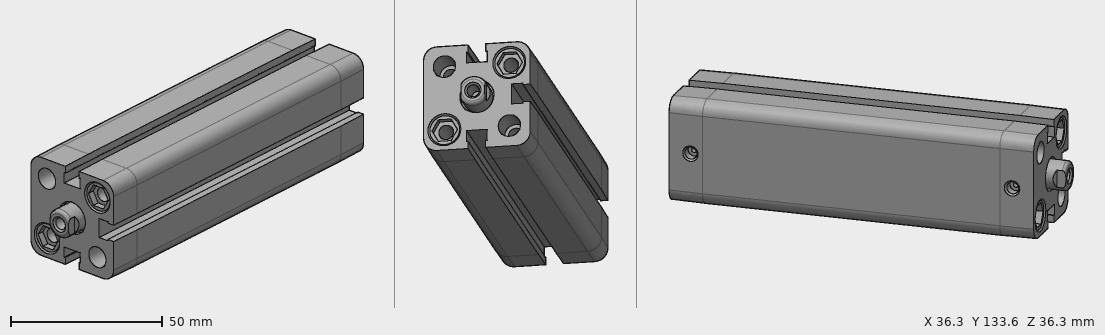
import cadquery as cq
import math

overall_length = 133.6
rod_projection = 6.5
housing_length = overall_length - rod_projection
housing_width = 36.3
half_width = housing_width / 2
corner_radius = 4.7
cap_length = 11.8
cap_inset = 0.16

slot_mouth_width = 6.0
slot_inner_width = 7.0
slot_lip = 2.7
slot_depth = 6.4

hole_offset = 11.0
bore_diameter = 4.1
clearance_diameter = 5.0
clearance_depth = 16.0
counterbore_diameter = 7.5
counterbore_depth = 10.7
screw_rim_diameter = 11.1
screw_diameter = 10.0
screw_recess = 0.5
hex_across_flats = 7.5
hex_depth = 3.0

thread_mouth_diameter = 5.5
thread_core_diameter = 4.1
thread_chamfer = (thread_mouth_diameter - thread_core_diameter) / 2

port_distance = 7.5
port_depth = 4.0
passage_diameter = 1.7
passage_depth = 8.0

rod_diameter = 10.0
rod_tip_fillet = 1.2
rod_across_flats = 8.0
flat_length = 3.1
flat_runout = 1.1
gland_diameter = 11.5
gland_depth = 2.0
rod_hole_depth = 8.0


def end_plane(y, toward):
    """Plane across the housing at Y = y, with its normal along Y in the given direction."""
    return cq.Plane(origin=(0, y, 0), xDir=(1, 0, 0), normal=(0, toward, 0))


def cylinder(diameter, length, base, direction):
    """Cylinder from base along direction."""
    return cq.Workplane(cq.Solid.makeCylinder(diameter / 2, length, cq.Vector(*base), cq.Vector(*direction)))


def cylinder_y(diameter, start, length, x=0.0, z=0.0):
    """Cylinder running from Y = start toward +Y."""
    return cylinder(diameter, length, (x, start, z), (0, 1, 0))


def cone(start_diameter, end_diameter, length, base, direction):
    """Truncated cone from base along direction."""
    start = cq.Vector(*base)
    axis = cq.Vector(*direction)
    return cq.Workplane(cq.Solid.makeCone(start_diameter / 2, end_diameter / 2, length, start, axis))


def make_block(y, toward, length, draft):
    """Rounded square block from Y = y, its sides leaning in by the draft angle."""
    block = cq.Workplane(end_plane(y, toward)).sketch().rect(housing_width, housing_width)
    return block.vertices().fillet(corner_radius).finalize().extrude(length, taper=draft)


def make_housing():
    """Straight barrel between two slightly drafted end caps."""
    rear_cap_start = housing_length - cap_length
    cap_draft = math.degrees(math.atan2(cap_inset, cap_length))
    barrel = make_block(cap_length, 1, rear_cap_start - cap_length, 0)
    front_cap = make_block(cap_length, -1, cap_length, cap_draft)
    rear_cap = make_block(rear_cap_start, 1, cap_length, cap_draft)
    return barrel.union(front_cap).union(rear_cap)


def make_slot(angle):
    """T-slot cutter for the +Z side, turned about Y by the given angle."""
    mouth = cq.Workplane().box(slot_mouth_width, housing_length, slot_depth, centered=(True, False, False))
    inner = cq.Workplane().box(
        slot_inner_width, housing_length, slot_depth - slot_lip, centered=(True, False, False)
    )
    slot = mouth.union(inner).translate((0, 0, half_width - slot_depth))
    return slot.rotate((0, 0, 0), (0, 1, 0), angle)


def make_corner_bore(x, z):
    """Through bore, wider near the front."""
    bore = cylinder_y(bore_diameter, 0, housing_length, x, z)
    return bore.union(cylinder_y(clearance_diameter, 0, clearance_depth, x, z))


def make_hex_socket(x, z):
    """Recess over a socket screw: conical rim, screw face and hexagon."""
    hex_corners = hex_across_flats / math.cos(math.pi / 6)
    rim = cone(screw_rim_diameter, screw_diameter, screw_recess, (x, 0, z), (0, 1, 0))
    hexagon = cq.Workplane(end_plane(0, 1)).polygon(6, hex_corners).extrude(hex_depth).translate((x, 0, z))
    return rim.union(hexagon)


def make_threaded_hole(depth, base, direction):
    """Chamfered thread-core cutter from base along direction."""
    core = cylinder(thread_core_diameter, depth, base, direction)
    mouth = cone(thread_mouth_diameter, thread_core_diameter, thread_chamfer, base, direction)
    return core.union(mouth)


def make_port(y):
    """Threaded-port cutter on the -X side with a narrow air passage."""
    mouth_center = (-half_width, y, 0)
    inward = (1, 0, 0)
    port = make_threaded_hole(port_depth, mouth_center, inward)
    passage = cylinder(passage_diameter, passage_depth, mouth_center, inward)
    return port.union(passage)


def make_rod():
    """Rod end with a rounded tip and two wrench flats."""
    rod = cylinder_y(rod_diameter, -rod_projection, rod_projection + gland_depth)
    rod = rod.faces("<Y").edges().fillet(rod_tip_fillet)
    flat_end = flat_length - rod_projection
    for side in (-1, 1):
        wedge = (
            cq.Workplane("XY")
            .moveTo(side * rod_across_flats / 2, -rod_projection)
            .lineTo(side * rod_across_flats / 2, flat_end)
            .lineTo(side * rod_diameter / 2, flat_end + flat_runout)
            .lineTo(side * rod_diameter / 2, -rod_projection)
            .close()
            .extrude(rod_diameter / 2, both=True)
        )
        rod = rod.cut(wedge)
    return rod


result = make_housing()

for slot_angle in (0, 90, 180):
    result = result.cut(make_slot(slot_angle))

for side_x in (-1, 1):
    for side_z in (-1, 1):
        hole_x = side_x * hole_offset
        hole_z = side_z * hole_offset
        result = result.cut(make_corner_bore(hole_x, hole_z))
        if side_x == side_z:
            result = result.cut(make_hex_socket(hole_x, hole_z))
        else:
            result = result.cut(cylinder_y(counterbore_diameter, 0, counterbore_depth, hole_x, hole_z))

for port_y in (port_distance, housing_length - port_distance):
    result = result.cut(make_port(port_y))

result = result.cut(cylinder_y(gland_diameter, 0, gland_depth)).union(make_rod())
result = result.cut(make_threaded_hole(rod_hole_depth, (0, -rod_projection, 0), (0, 1, 0)))